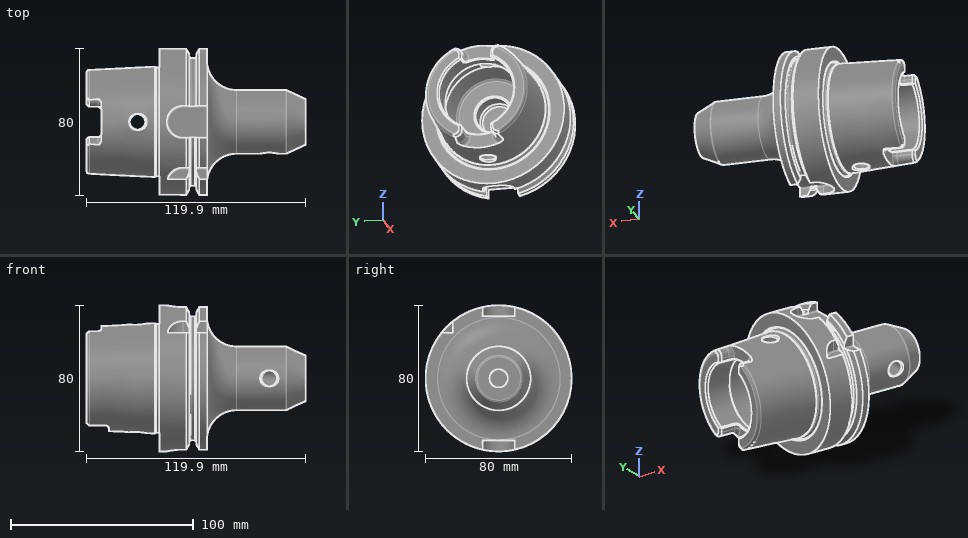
import cadquery as cq
import math

shank_length = 39.9
nose_length = 80.0

taper_large_radius = 30.25
taper_slope = 1 / 20
taper_start = -2.5
mouth_round = 1.6
neck_radius = 29.8
neck_start = -1.8
relief_start = -0.7
relief_outer_radius = 32.0
relief_depth = 0.7

flange_radius = 40.0
flange_width = 26.0
groove_left = 14.6
groove_right = 21.8
groove_flank_width = 1.8
groove_flank_angle = 60.0
groove_flank_depth = groove_flank_width * math.tan(math.radians(groove_flank_angle))
groove_floor_radius = 35.0
groove_floor_round = 0.7

nose_radius = 17.5
nose_fillet = 16.0
nose_cone_angle = 25.0
nose_cone_start = 69.2
nose_edge_round = 0.9

mouth_bore_radius = 21.0
mouth_chamfer_depth = 0.8
mouth_chamfer_length = 1.4
clamp_shoulder_start = -24.2
clamp_shoulder_angle = 60.0
cavity_radius = 25.0
cavity_wall_end = -8.2
cavity_cone_angle = 30.0
cavity_floor_radius = 19.3
cavity_floor_round = 1.5

coolant_radius = 10.0
coolant_chamfer = 0.7
coolant_end_radius = 8.8
coolant_depth = 12.0

tool_bore_radius = 5.0
tool_bore_depth = 40.0
screw_x = 60.0
screw_radius = 4.25
screw_chamfer = 0.85

access_x = -12.0
access_radius = 4.2
access_chamfer = 0.7

slot_half_width = 8.2
slot_shoulder_radius = 3.8
slot_shoulder_height = 25.8
slot_floor_round = 2.0
slot_mouth_chamfer = 1.4
slot_inner_chamfer = 0.5
upper_slot_depth = 8.2
lower_slot_depth = 12.2

keyway_radius = 8.75
keyway_center_x = 12.75
keyway_floor = 33.9
flange_slot_floor_round = 0.5
notch_wall_y = -25.0
notch_floor_z = 24.8

clearance = 5.0

arc_mid = math.sqrt(0.5)


def revolve_about_x(profile):
    """Turn a closed XY profile, with Y as the radius, about the X axis."""
    return profile.close().revolve(360, (0, 0, 0), (1, 0, 0))


def taper_radius(x):
    return taper_large_radius - (taper_start - x) * taper_slope


def round_circle(solid, x, radius, round_radius):
    """Fillet the circular edge centred on the axis at the given place."""
    tolerance = 0.01
    box = cq.selectors.BoxSelector(
        (x - tolerance, -tolerance, -tolerance),
        (x + tolerance, tolerance, tolerance),
    )
    edges = solid.edges("%CIRCLE").edges(box).edges(cq.selectors.RadiusNthSelector(-1))
    return edges.fillet(round_radius)


def turned_body():
    relief_floor_radius = relief_outer_radius - relief_depth
    relief_round_height = relief_floor_radius - neck_radius
    flank_radius = flange_radius - groove_flank_depth
    wall_left = groove_left + groove_flank_width
    wall_right = groove_right - groove_flank_width
    floor_round_edge = groove_floor_radius + groove_floor_round
    round_inset = groove_floor_round * (1 - arc_mid)
    fillet_inset = nose_fillet * (1 - arc_mid)
    nose_end_radius = nose_radius - (nose_length - nose_cone_start) * math.tan(math.radians(nose_cone_angle))
    profile = (
        cq.Workplane("XY")
        .moveTo(-shank_length, 0)
        .lineTo(-shank_length, taper_radius(-shank_length))
        .lineTo(taper_start, taper_large_radius)
        .lineTo(neck_start, neck_radius)
        .lineTo(relief_start, neck_radius)
        .threePointArc(
            (
                relief_start + (relief_depth - relief_start) * arc_mid,
                neck_radius + relief_round_height * (1 - arc_mid),
            ),
            (relief_depth, relief_floor_radius),
        )
        .lineTo(0, relief_outer_radius)
        .lineTo(0, flange_radius)
        .lineTo(groove_left, flange_radius)
        .lineTo(wall_left, flank_radius)
        .lineTo(wall_left, floor_round_edge)
        .threePointArc(
            (wall_left + round_inset, groove_floor_radius + round_inset),
            (wall_left + groove_floor_round, groove_floor_radius),
        )
        .lineTo(wall_right - groove_floor_round, groove_floor_radius)
        .threePointArc(
            (wall_right - round_inset, groove_floor_radius + round_inset),
            (wall_right, floor_round_edge),
        )
        .lineTo(wall_right, flank_radius)
        .lineTo(groove_right, flange_radius)
        .lineTo(flange_width, flange_radius)
        .lineTo(flange_width, nose_radius + nose_fillet)
        .threePointArc(
            (flange_width + fillet_inset, nose_radius + fillet_inset),
            (flange_width + nose_fillet, nose_radius),
        )
        .lineTo(nose_cone_start, nose_radius)
        .lineTo(nose_length, nose_end_radius)
        .lineTo(nose_length, 0)
    )
    body = revolve_about_x(profile)
    body = round_circle(body, -shank_length, taper_radius(-shank_length), mouth_round)
    body = round_circle(body, nose_cone_start, nose_radius, nose_edge_round)
    return round_circle(body, nose_length, nose_end_radius, nose_edge_round)


def cavity():
    shoulder_length = (cavity_radius - mouth_bore_radius) / math.tan(math.radians(clamp_shoulder_angle))
    cone_angle = math.radians(cavity_cone_angle)
    mid_angle = (cone_angle + math.pi / 2) / 2
    cone_end_radius = cavity_floor_radius + cavity_floor_round * math.cos(cone_angle)
    cone_end = cavity_wall_end + (cavity_radius - cone_end_radius) / math.tan(cone_angle)
    round_center = cone_end - cavity_floor_round * math.sin(cone_angle)
    cavity_floor = round_center + cavity_floor_round
    coolant_end = cavity_floor + coolant_depth
    profile = (
        cq.Workplane("XY")
        .moveTo(-shank_length, 0)
        .lineTo(-shank_length, mouth_bore_radius + mouth_chamfer_depth)
        .lineTo(-shank_length + mouth_chamfer_length, mouth_bore_radius)
        .lineTo(clamp_shoulder_start, mouth_bore_radius)
        .lineTo(clamp_shoulder_start + shoulder_length, cavity_radius)
        .lineTo(cavity_wall_end, cavity_radius)
        .lineTo(cone_end, cone_end_radius)
        .threePointArc(
            (
                round_center + cavity_floor_round * math.sin(mid_angle),
                cavity_floor_radius + cavity_floor_round * math.cos(mid_angle),
            ),
            (cavity_floor, cavity_floor_radius),
        )
        .lineTo(cavity_floor, coolant_radius + coolant_chamfer)
        .lineTo(cavity_floor + coolant_chamfer, coolant_radius)
        .lineTo(coolant_end - (coolant_radius - coolant_end_radius), coolant_radius)
        .lineTo(coolant_end, coolant_end_radius)
        .lineTo(coolant_end, 0)
    )
    return revolve_about_x(profile)


def tool_bore():
    bore = cq.Workplane("YZ").workplane(offset=nose_length - tool_bore_depth)
    return bore.circle(tool_bore_radius).extrude(tool_bore_depth)


def chamfered_hole(radius, chamfer, surface_radius):
    """Hole along +Z from the part axis, chamfered where it meets the outer surface."""
    profile = (
        cq.Workplane("XZ")
        .lineTo(radius, 0)
        .lineTo(radius, surface_radius - chamfer)
        .lineTo(radius + chamfer + clearance, surface_radius + clearance)
        .lineTo(0, surface_radius + clearance)
        .close()
    )
    return profile.revolve(360, (0, 0, 0), (0, 1, 0))


def access_hole():
    upper = chamfered_hole(access_radius, access_chamfer, taper_radius(access_x))
    lower = upper.rotate((0, 0, 0), (1, 0, 0), 180)
    return upper.union(lower).translate((access_x, 0, 0))


def screw_hole():
    hole = chamfered_hole(screw_radius, screw_chamfer, nose_radius)
    return hole.rotate((0, 0, 0), (1, 0, 0), 90).translate((screw_x, 0, 0))


def slot_outline(x, offset):
    """Cross-section of a drive slot at the given X, grown outward from the slot by offset."""
    half_width = slot_half_width + offset
    radius = slot_shoulder_radius - offset
    shoulder_z = slot_shoulder_height - offset
    corner_y = half_width + radius
    corner_z = shoulder_z - radius
    arc_inset = radius * (1 - arc_mid)
    side = flange_radius
    return (
        cq.Workplane("YZ", origin=(x, 0, 0))
        .moveTo(-half_width, 0)
        .lineTo(half_width, 0)
        .lineTo(half_width, corner_z)
        .threePointArc((half_width + arc_inset, shoulder_z - arc_inset), (corner_y, shoulder_z))
        .lineTo(side, shoulder_z)
        .lineTo(side, side)
        .lineTo(-side, side)
        .lineTo(-side, shoulder_z)
        .lineTo(-corner_y, shoulder_z)
        .threePointArc((-half_width - arc_inset, shoulder_z - arc_inset), (-half_width, corner_z))
        .close()
    )


def drive_slot(depth):
    slot = slot_outline(-shank_length, 0).extrude(depth)
    slot = slot.faces(">X").edges().fillet(slot_floor_round)
    wide = slot_outline(-shank_length, slot_mouth_chamfer).wire().val()
    narrow = slot_outline(-shank_length + slot_mouth_chamfer, 0).wire().val()
    mouth = cq.Solid.makeLoft([wide, narrow], True)
    return slot.union(cq.Workplane(mouth))


def flange_slot(center_y, floor_z):
    """End-milled slot with one round end, running out through the nose side of the flange."""
    straight_length = flange_width + clearance - keyway_center_x
    center_x = keyway_center_x + straight_length / 2
    slot = cq.Workplane("XY", origin=(center_x, center_y, floor_z))
    slot = slot.slot2D(straight_length + 2 * keyway_radius, 2 * keyway_radius)
    slot = slot.extrude(flange_radius + clearance - floor_z)
    return slot.faces("<Z").edges().fillet(flange_slot_floor_round)


def flange_keyways():
    upper = flange_slot(0, keyway_floor)
    lower = upper.rotate((0, 0, 0), (1, 0, 0), 180)
    return upper.union(lower)


def orientation_notch():
    return flange_slot(notch_wall_y - keyway_radius, notch_floor_z)


def on_slot_inner_edge(edge):
    """True for the edges where the drive slots cut through the wall of the mouth bore."""
    tolerance = 0.01
    mouth_end = -shank_length + mouth_chamfer_length
    points = [edge.startPoint(), edge.endPoint()]
    on_bore = all(abs(math.hypot(p.y, p.z) - mouth_bore_radius) < tolerance for p in points)
    past_mouth = max(p.x for p in points) > mouth_end + tolerance
    before_shoulder = max(p.x for p in points) < clamp_shoulder_start - tolerance
    return on_bore and past_mouth and before_shoulder


def chamfer_slot_inner_edges(solid):
    return solid.edges().filter(on_slot_inner_edge).chamfer(slot_inner_chamfer)


result = turned_body().cut(access_hole()).cut(cavity())
result = result.cut(tool_bore()).cut(screw_hole())
result = result.cut(flange_keyways()).cut(orientation_notch())
result = result.cut(drive_slot(upper_slot_depth))
result = result.cut(drive_slot(lower_slot_depth).rotate((0, 0, 0), (1, 0, 0), 180))
result = chamfer_slot_inner_edges(result).solids()